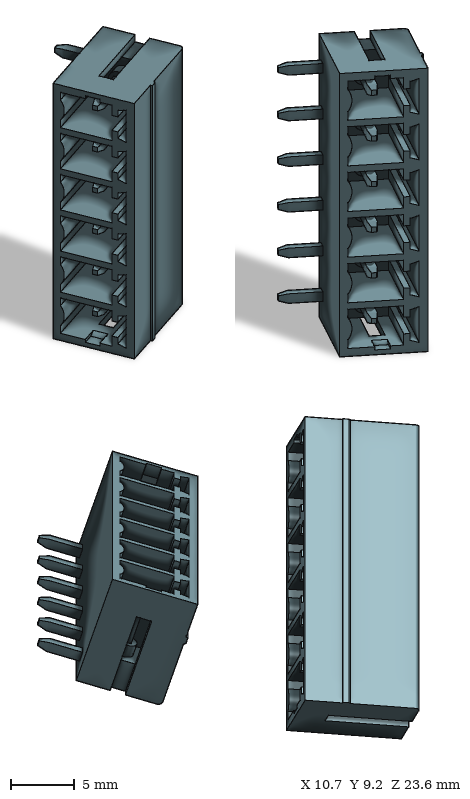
import cadquery as cq


body_width = 7.02
body_depth = 9.2
body_height = 23.65
corner_radius = 0.4

pocket_count = 6
pitch = 3.8
pocket_depth = 6.72
pocket_left = 0.65
pocket_right = 5.08
pocket_height = 3.26
bulge_width = 0.33
bulge_height = 1.87
neck_right = 5.6
neck_height = 1.4
dovetail_right = 6.31
dovetail_root_height = 2.55
dovetail_end_height = 2.98

pin_size = 0.8
tip_size = 0.43
tip_length = 0.78
pin_x = 2.98
pin_reach = 3.5
pin_from_back = 1.23
contact_front = 1.42
boss_radius = 0.9
boss_length = 1.02

latch_left = 2.8
latch_right = 4.05
slot_length = 6.7
notch_depth = 0.25
notch_flat_length = 1.0
notch_ramp_length = 0.5

rib_height = 0.17
rib_front = 2.98
rib_width = 0.66

pin_y = body_depth - pin_from_back
end_pocket_z = pitch * (pocket_count - 1) / 2
pocket_levels = [i * pitch - end_pocket_z for i in range(pocket_count)]
ceiling_z = end_pocket_z + pocket_height / 2


def make_housing():
    block = cq.Workplane("XY").box(body_width, body_depth, body_height, centered=(False, False, True))
    return block.edges("|Z and >X and >Y").fillet(corner_radius)


def make_snap_rib():
    rib_back = rib_front + rib_width
    rib_tip = body_width + rib_height
    return (
        cq.Workplane("XY", origin=(0, 0, -body_height / 2))
        .moveTo(body_width - rib_height, rib_front)
        .lineTo(rib_tip, rib_front)
        .lineTo(rib_tip, rib_back - rib_height)
        .lineTo(body_width - rib_height, rib_back + rib_height)
        .close()
        .extrude(body_height)
    )


def make_pocket():
    """Pocket with a bulged left wall and a dovetail channel on the right."""
    half = pocket_height / 2
    half_neck = neck_height / 2
    half_root = dovetail_root_height / 2
    half_end = dovetail_end_height / 2
    half_bulge = bulge_height / 2
    return (
        cq.Workplane("XZ")
        .moveTo(pocket_left, -half)
        .lineTo(pocket_right, -half)
        .lineTo(pocket_right, -half_neck)
        .lineTo(neck_right, -half_neck)
        .lineTo(neck_right, -half_root)
        .lineTo(dovetail_right, -half_end)
        .lineTo(dovetail_right, half_end)
        .lineTo(neck_right, half_root)
        .lineTo(neck_right, half_neck)
        .lineTo(pocket_right, half_neck)
        .lineTo(pocket_right, half)
        .lineTo(pocket_left, half)
        .lineTo(pocket_left, half_bulge)
        .threePointArc((pocket_left + bulge_width, 0), (pocket_left, -half_bulge))
        .close()
        .extrude(-pocket_depth)
    )


def make_square_pin(length):
    """Square pin along +Z from the origin, ending in a tapered tip."""
    shank_length = length - tip_length
    shank = cq.Workplane("XY").rect(pin_size, pin_size).extrude(shank_length)
    tip = (
        cq.Workplane("XY", origin=(0, 0, shank_length))
        .rect(pin_size, pin_size)
        .workplane(offset=tip_length)
        .rect(tip_size, tip_size)
        .loft()
    )
    return shank.union(tip)


def make_bent_pin():
    """Contact pin towards -Y in the pocket, solder pin towards -X, and the boss around the contact."""
    contact = make_square_pin(pin_y - contact_front).rotate((0, 0, 0), (1, 0, 0), 90)
    solder = make_square_pin(pin_x + pin_reach).rotate((0, 0, 0), (0, 1, 0), -90)
    bend = contact.union(solder).translate((pin_x, pin_y, 0))
    boss = cq.Workplane("XZ", origin=(pin_x, pocket_depth, 0)).circle(boss_radius).extrude(boss_length)
    return bend.union(boss)


def make_latch_slot():
    """Slot in the top face, open at the back and down to the ceiling of the top pocket."""
    slot_width = latch_right - latch_left
    slot_depth = body_height / 2 - ceiling_z
    slot = cq.Workplane("XY").box(slot_width, slot_length, slot_depth, centered=False)
    return slot.translate((latch_left, body_depth - slot_length, ceiling_z))


def make_latch_notch():
    """Notch in the ceiling of the top pocket: flat at the front, then ramping back to the ceiling."""
    notch_top = ceiling_z + notch_depth
    notch_bottom = ceiling_z - notch_depth
    notch_back = notch_flat_length + notch_ramp_length
    return (
        cq.Workplane("YZ", origin=(latch_left, 0, 0))
        .moveTo(0, notch_bottom)
        .lineTo(0, notch_top)
        .lineTo(notch_flat_length, notch_top)
        .lineTo(notch_back, ceiling_z)
        .lineTo(notch_back, notch_bottom)
        .close()
        .extrude(latch_right - latch_left)
    )


result = make_housing().union(make_snap_rib())
pocket = make_pocket()
for level in pocket_levels:
    result = result.cut(pocket.translate((0, 0, level)))

for top_cut in (make_latch_slot(), make_latch_notch()):
    result = result.cut(top_cut).cut(top_cut.mirror("XY"))

bent_pin = make_bent_pin()
for level in pocket_levels:
    result = result.union(bent_pin.translate((0, 0, level)))